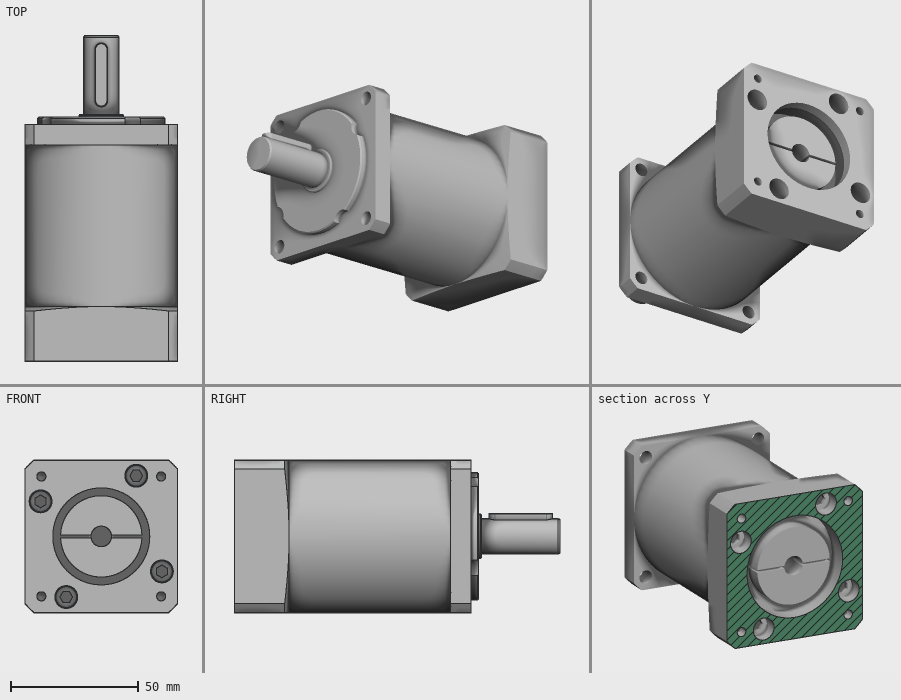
import cadquery as cq
import math

total_length = 128.0
square_side = 60.0
corner_circle_diameter = 80.0
body_diameter = square_side

input_block_length = 21.5
block_taper_angle = 10.0
shaft_end_to_flange = 35.0
flange_thickness = 8.0
pilot_height = 3.0
collar_height = 1.0
flange_front = total_length - shaft_end_to_flange
flange_back = flange_front - flange_thickness
pilot_front = flange_front + pilot_height
collar_front = pilot_front + collar_height

pilot_diameter = 50.0
pilot_chamfer = 0.5
collar_diameter = 17.5
collar_chamfer = 0.4
shaft_diameter = 14.0
shaft_chamfer_length = 0.8
shaft_chamfer_depth = 0.4
key_length = 25.1
key_width = 5.0
key_top = 9.1
key_to_shaft_end = 3.0
key_chamfer = 0.3
flange_hole_diameter = 5.5
flange_hole_spacing = 49.5

screw_circle_radius = 27.5
screw_start_angle = 60.0
screw_bore_diameter = 9.0
screw_head_diameter = 8.2
screw_head_depth = 10.2
screw_seat_depth = 15.2
socket_across_flats = 4.4
socket_depth = 2.5

motor_hole_diameter = 3.6
motor_hole_spacing = 47.1
motor_hole_depth = 10.2
drill_point_angle = 118.0
register_diameter = 38.1
register_depth = 4.5
cavity_diameter = 42.0
cavity_depth = 14.0
hub_diameter = 32.0
hub_face_depth = 6.0
motor_shaft_diameter = 8.0
motor_shaft_depth = 25.0
hub_slot_width = 1.2


def facing_plus_y(y):
    """Workplane at the given Y whose local x is X, local y is -Z and normal is +Y."""
    return cq.Workplane(cq.Plane(origin=(0, y, 0), xDir=(1, 0, 0), normal=(0, 1, 0)))


def cylinder(diameter, y_start, y_end, x=0, z=0):
    return facing_plus_y(y_start).center(x, -z).circle(diameter / 2).extrude(y_end - y_start)


def square_corners(spacing):
    return [(sx * spacing / 2, sz * spacing / 2) for sx in (-1, 1) for sz in (-1, 1)]


def screw_positions():
    """Angle, x and z of each case screw."""
    angles = [screw_start_angle + 90 * i for i in range(4)]
    return [
        (
            angle,
            screw_circle_radius * math.cos(math.radians(angle)),
            screw_circle_radius * math.sin(math.radians(angle)),
        )
        for angle in angles
    ]


def square_end(y_start, y_end):
    """Square plate whose corners are trimmed by a round."""
    plate = facing_plus_y(y_start).rect(square_side, square_side).extrude(y_end - y_start)
    return plate.intersect(cylinder(corner_circle_diameter, y_start, y_end))


def input_block():
    """Square block whose back slopes away from the body as a shallow cone."""
    body_radius = body_diameter / 2
    corner_radius = corner_circle_diameter / 2
    slope_drop = (corner_radius - body_radius) * math.tan(math.radians(block_taper_angle))
    envelope = (
        cq.Workplane("XY")
        .polyline([
            (0, 0),
            (corner_radius, 0),
            (corner_radius, input_block_length - slope_drop),
            (body_radius, input_block_length),
            (0, input_block_length),
        ])
        .close()
        .revolve(360, (0, 0, 0), (0, 1, 0))
    )
    return square_end(0, input_block_length).intersect(envelope)


def output_flange():
    flange = square_end(flange_back, flange_front)
    for x, z in square_corners(flange_hole_spacing):
        flange = flange.cut(cylinder(flange_hole_diameter, flange_back, flange_front, x, z))
    return flange


def pilot():
    """Centring ring with a scallop in line with each case screw."""
    ring = cylinder(pilot_diameter, flange_front, pilot_front).faces(">Y").chamfer(pilot_chamfer)
    for _, x, z in screw_positions():
        ring = ring.cut(cylinder(screw_bore_diameter, flange_front, pilot_front, x, z))
    return ring


def shaft():
    collar = cylinder(collar_diameter, pilot_front, collar_front)
    collar = collar.faces(">Y").chamfer(collar_chamfer)
    rod = cylinder(shaft_diameter, pilot_front, total_length)
    rod = rod.faces(">Y").edges().chamfer(shaft_chamfer_length, shaft_chamfer_depth)
    return collar.union(rod)


def key():
    """Round-ended key, standing from the shaft axis up to its full height."""
    middle = total_length - key_to_shaft_end - key_length / 2
    bar = cq.Workplane("XY").center(0, middle).slot2D(key_length, key_width, 90).extrude(key_top)
    return bar.faces(">Z").chamfer(key_chamfer)


def motor_hole(x, z):
    """Blind drilled hole with a conical bottom."""
    radius = motor_hole_diameter / 2
    point_length = radius / math.tan(math.radians(drill_point_angle / 2))
    return (
        cq.Workplane("XY")
        .polyline([
            (0, 0),
            (radius, 0),
            (radius, motor_hole_depth),
            (0, motor_hole_depth + point_length),
        ])
        .close()
        .revolve(360, (0, 0, 0), (0, 1, 0))
        .translate((x, 0, z))
    )


def screw_pocket(angle, x, z):
    """Counterbore that leaves a hex socket screw head standing inside."""
    bore = cylinder(screw_bore_diameter, 0, screw_seat_depth, x, z)
    head = cylinder(screw_head_diameter, screw_head_depth, screw_seat_depth, x, z)
    corner_to_corner = socket_across_flats / math.cos(math.pi / 6)
    quarter_turn = angle - screw_start_angle
    socket = (
        facing_plus_y(screw_head_depth)
        .polygon(6, corner_to_corner)
        .extrude(socket_depth)
        .rotate((0, 0, 0), (0, 1, 0), quarter_turn)
        .translate((x, 0, z))
    )
    return bore.cut(head).union(socket)


def motor_cavity():
    """Motor register, the wider space behind it and the split clamping hub inside."""
    cavity = cylinder(register_diameter, 0, register_depth)
    cavity = cavity.union(cylinder(cavity_diameter, register_depth, cavity_depth))
    hub = cylinder(hub_diameter, hub_face_depth, cavity_depth)
    slot = (
        facing_plus_y(hub_face_depth)
        .rect(hub_diameter, hub_slot_width)
        .extrude(cavity_depth - hub_face_depth)
    )
    shaft_bore = cylinder(motor_shaft_diameter, hub_face_depth, motor_shaft_depth)
    return cavity.cut(hub.cut(slot)).union(shaft_bore)


body = cylinder(body_diameter, input_block_length, flange_back)

result = input_block().union(body).union(output_flange()).union(pilot()).union(shaft()).union(key())
result = result.cut(motor_cavity())
for screw_angle, screw_x, screw_z in screw_positions():
    result = result.cut(screw_pocket(screw_angle, screw_x, screw_z))
for hole_x, hole_z in square_corners(motor_hole_spacing):
    result = result.cut(motor_hole(hole_x, hole_z))